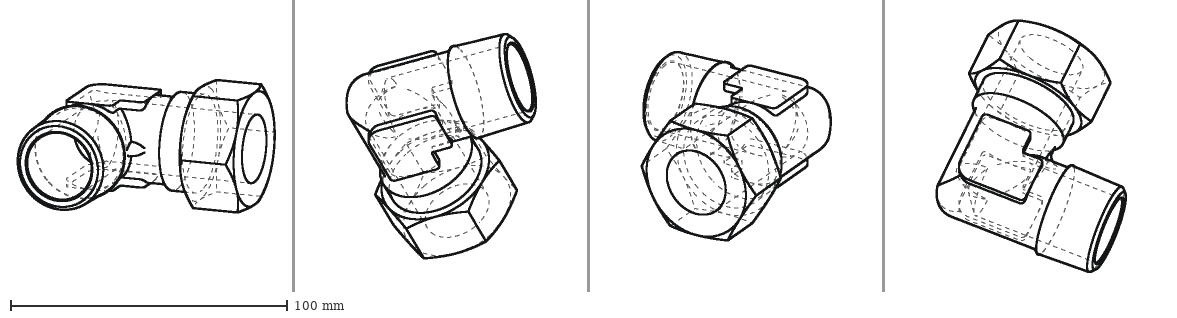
import cadquery as cq
import math


pipe_radius = 16.0
bore_radius = 12.5
bore_tip_depth = 9.6
corner_rounding = 7.85

leg_length = 48.0
lip_radius = 17.4
lip_offset = 26.7
thread_large_radius = 17.2
thread_small_radius = 16.75
thread_end_radius = 16.6
thread_taper_end = 41.0
thread_chamfer = 1.5
mouth_chamfer = 0.45

branch_length = 57.3
collar_radius = 18.0
collar_start = 27.35
nut_start = 36.4
nut_sides = 6
nut_across_flats = 42.0
nut_chamfer_angle = 30.0
shoulder_blend = 1.65

pad_outer_x = -9.0
pad_outer_y = 9.6
pad_notch_x = 9.1
pad_notch_y = -9.5
pad_reach = 18.1
pad_outer_rounding = 6.0
pad_end_rounding = 1.6
pad_notch_rounding = 1.0

crotch_radius = 6.05
bead_radius = 2.6


def cylinder_x(radius, start, end):
    return cq.Workplane("YZ").workplane(offset=start).circle(radius).extrude(end - start)


def cylinder_y(radius, start, end):
    return cq.Workplane("XZ").workplane(offset=-end).circle(radius).extrude(end - start)


def turn_to_leg(body):
    """Turn a body built along +X so that it lies along -Y."""
    return body.rotate((0, 0, 0), (0, 0, 1), -90)


def revolve_about_x(profile):
    return profile.revolve(360, (0, 0, 0), (1, 0, 0))


def shoulder_profile(top_distance, top_radius):
    """Half section from the axis at zero, along the pipe, up a blended 45 degree shoulder."""
    foot_distance = top_distance - (top_radius - pipe_radius)
    slope = math.radians(45)
    half_slope = slope / 2
    tangent = shoulder_blend * math.tan(half_slope)
    middle = (
        foot_distance - tangent + shoulder_blend * math.sin(half_slope),
        pipe_radius + shoulder_blend * (1 - math.cos(half_slope)),
    )
    blend_end = (
        foot_distance + tangent * math.cos(slope),
        pipe_radius + tangent * math.sin(slope),
    )
    return (
        cq.Workplane("XY")
        .moveTo(0, 0)
        .lineTo(0, pipe_radius)
        .lineTo(foot_distance - tangent, pipe_radius)
        .threePointArc(middle, blend_end)
        .lineTo(top_distance, top_radius)
    )


def make_branch():
    profile = shoulder_profile(collar_start, collar_radius)
    profile = profile.lineTo(nut_start, collar_radius).lineTo(nut_start, 0).close()
    return revolve_about_x(profile)


def make_leg():
    profile = (
        shoulder_profile(lip_offset, lip_radius)
        .lineTo(lip_offset, thread_large_radius)
        .lineTo(thread_taper_end, thread_small_radius)
        .lineTo(leg_length - thread_chamfer, thread_end_radius)
        .lineTo(leg_length, thread_end_radius - thread_chamfer)
        .lineTo(leg_length, 0)
        .close()
    )
    return turn_to_leg(revolve_about_x(profile))


def make_outer_corner():
    """Round-ended stub of the leg, trimmed by the branch pipe."""
    stub = cylinder_y(pipe_radius, 0, pipe_radius).faces(">Y").edges().fillet(corner_rounding)
    return stub.intersect(cylinder_x(pipe_radius, -pipe_radius, pipe_radius))


def make_crotch_bead():
    """Quarter ring whose inner side is tangent to both pipes."""
    center = pipe_radius + crotch_radius
    ring_radius = crotch_radius + bead_radius
    return (
        cq.Workplane("YZ", origin=(center, -center, 0))
        .center(ring_radius, 0)
        .circle(bead_radius)
        .revolve(90, (-ring_radius, 0, 0), (-ring_radius, 1, 0))
    )


def round_corners(body, corners, radius):
    """Round the upright edges that stand at the given XY corners."""
    for x, y in corners:
        nearest = cq.selectors.NearestToPointSelector((x, y, 0))
        body = body.edges("|Z").edges(nearest).fillet(radius)
    return body


def make_pads():
    """One L-shaped block through both pipes; only its two outer faces stand clear of them."""
    height = 2 * pipe_radius
    outline = [
        (pad_outer_x, pad_outer_y),
        (pad_reach, pad_outer_y),
        (pad_reach, pad_notch_y),
        (pad_notch_x, pad_notch_y),
        (pad_notch_x, -pad_reach),
        (pad_outer_x, -pad_reach),
    ]
    outer_corner, far_corner, near_corner, notch_corner, *end_corners = outline
    pads = cq.Workplane("XY").workplane(offset=-pipe_radius).polyline(outline).close().extrude(height)
    pads = round_corners(pads, [outer_corner], pad_outer_rounding)
    pads = round_corners(pads, [notch_corner], pad_notch_rounding)
    return round_corners(pads, [far_corner, near_corner, *end_corners], pad_end_rounding)


def make_nut():
    nut_length = branch_length - nut_start
    flat_radius = nut_across_flats / 2
    corner_radius = flat_radius / math.cos(math.pi / nut_sides)
    chamfer_height = corner_radius - flat_radius
    chamfer_depth = chamfer_height * math.tan(math.radians(nut_chamfer_angle))
    nut_plane = cq.Workplane("YZ").workplane(offset=nut_start)
    hexagon = nut_plane.polygon(nut_sides, 2 * corner_radius).extrude(nut_length)
    envelope = (
        cylinder_x(corner_radius, nut_start, branch_length)
        .edges()
        .chamfer(chamfer_depth, chamfer_height)
    )
    return hexagon.intersect(envelope)


def bore_along_x(length):
    """Bore entered from the far end, with a conical drill tip reaching past the origin."""
    profile = (
        cq.Workplane("XY")
        .moveTo(-bore_tip_depth, 0)
        .lineTo(0, bore_radius)
        .lineTo(length, bore_radius)
        .lineTo(length, 0)
        .close()
    )
    return revolve_about_x(profile)


def make_leg_mouth():
    """Cone that breaks the bore edge at the end of the leg."""
    profile = (
        cq.Workplane("XY")
        .moveTo(leg_length - mouth_chamfer, 0)
        .lineTo(leg_length - mouth_chamfer, bore_radius)
        .lineTo(leg_length, bore_radius + mouth_chamfer)
        .lineTo(leg_length, 0)
        .close()
    )
    return turn_to_leg(revolve_about_x(profile))


result = (
    make_branch()
    .union(make_leg())
    .union(make_outer_corner())
    .union(make_crotch_bead())
    .union(make_pads())
    .union(make_nut())
    .cut(bore_along_x(branch_length))
    .cut(turn_to_leg(bore_along_x(leg_length)))
    .cut(make_leg_mouth())
)